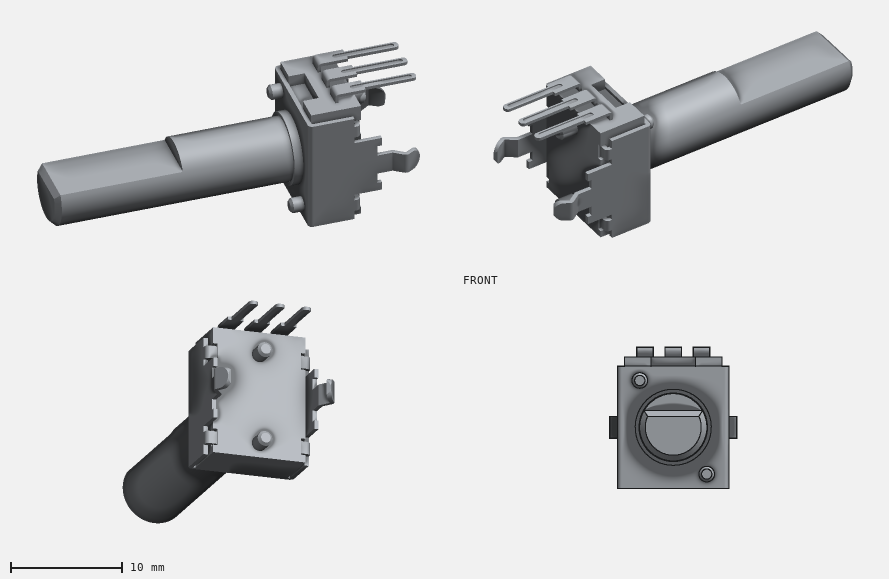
import math

import cadquery as cq


OVERALL_LENGTH = 34

SHEET = 0.4
PLATE_HALF_WIDTH = 5.0
HALF_HEIGHT = 5.47
LEG_REAR = 4.28
TAB_REAR = 6.85
TAB_OUTER_Z = 2.82
TAB_INNER_Z = 2.0
TAB_NOTCH_REAR = 6.45

LUG_HALF_HEIGHT = 1.0
OVERALL_WIDTH = 11.4
LUG_CREST_X = OVERALL_WIDTH / 2
LUG_CREST_Y = 9.0
LUG_CREST_RADIUS = 0.45
LUG_OUTWARD_ANGLE = math.radians(35)
LUG_INWARD_ANGLE = math.radians(31)
LUG_TIP_REAR = 10.47

CLAMP_Z = 4.0
CLAMP_HEIGHT = 1.15
CLAMP_REAR = 4.9
POCKET_HEIGHT = 1.53
POCKET_FRONT = 4.5
POCKET_DEPTH = 0.4

BASE_WIDTH = 8.75
BASE_TOP = 6.3
BASE_REAR = 5.1
RECESS_WIDTH = 4.0
RECESS_LENGTH = 1.5
RECESS_DEPTH = 1.12

PEG_DIAMETER = 1.4
PEG_CHAMFER = 0.25
FRONT_PEG_X = 3.0
PEG_Z = 4.18
FRONT_PEG_TIP = -1.22
REAR_PEG_TIP = 6.85

TERMINAL_PITCH = 2.5
TERMINAL_SHEET = 0.3
TERMINAL_TOP = 7.17
TERMINAL_FRONT = 3.05
TERMINAL_SHOULDER = 5.9
TERMINAL_TIP = 10.88
TERMINAL_WIDTH = 1.5
PRONG_WIDTH = 0.8
TERMINAL_BEND_RADIUS = 0.4
PRONG_CORNER_RADIUS = 0.37
GROOVE_WIDTH = 0.5
GROOVE_FRONT = 4.7
GROOVE_REAR = 10.47
GROOVE_DEPTH = 0.15

BUSHING_DIAMETER = 6.8
BUSHING_LENGTH = 0.8
BORE_DIAMETER = 6.12

SHAFT_DIAMETER = 6.0
SHAFT_TIP = TERMINAL_TIP - OVERALL_LENGTH
SHAFT_CHAMFER = 0.5
FLAT_LENGTH = 12.03
FLAT_Z = 1.5


def box(x_range, y_range, z_range):
    """Box given by its lower and upper limit along each axis."""
    limits = (x_range, y_range, z_range)
    size = [high - low for low, high in limits]
    corner = cq.Vector(*(low for low, high in limits))
    return cq.Workplane(cq.Solid.makeBox(*size, corner))


def span(length, centre=0):
    """Limits of a length laid symmetrically about a centre."""
    return centre - length / 2, centre + length / 2


def rod(diameter, y_start, y_end, x=0, z=0):
    """Cylinder along the Y axis direction."""
    start = cq.Vector(x, y_start, z)
    direction = cq.Vector(0, y_end - y_start, 0)
    return cq.Workplane(cq.Solid.makeCylinder(diameter / 2, abs(y_end - y_start), start, direction))


def mirrored_pair(body):
    """The body together with its mirror image across the YZ plane."""
    return body.union(body.mirror("YZ"))


def leg_strip():
    """The +X leg and its lug as a bent strip of full bracket height."""
    centre_x = LUG_CREST_X - LUG_CREST_RADIUS

    def on_crest(radius, angle):
        return centre_x + radius * math.cos(angle), LUG_CREST_Y + radius * math.sin(angle)

    outer_radius = LUG_CREST_RADIUS
    inner_radius = LUG_CREST_RADIUS - SHEET
    bend_in = on_crest(outer_radius, -LUG_OUTWARD_ANGLE)
    bend_out = on_crest(outer_radius, LUG_INWARD_ANGLE)
    inner_bend_in = on_crest(inner_radius, -LUG_OUTWARD_ANGLE)
    inner_bend_out = on_crest(inner_radius, LUG_INWARD_ANGLE)

    foot_y = bend_in[1] - (bend_in[0] - PLATE_HALF_WIDTH) / math.tan(LUG_OUTWARD_ANGLE)
    inner_foot_y = foot_y + SHEET * math.tan(LUG_OUTWARD_ANGLE / 2)
    tip = (bend_out[0] - (LUG_TIP_REAR - bend_out[1]) * math.tan(LUG_INWARD_ANGLE), LUG_TIP_REAR)
    inner_tip = (
        tip[0] - SHEET * math.cos(LUG_INWARD_ANGLE),
        tip[1] - SHEET * math.sin(LUG_INWARD_ANGLE),
    )
    return (
        cq.Workplane("XY")
        .moveTo(PLATE_HALF_WIDTH, SHEET)
        .lineTo(PLATE_HALF_WIDTH, foot_y)
        .lineTo(*bend_in)
        .threePointArc(on_crest(outer_radius, 0), bend_out)
        .lineTo(*tip)
        .lineTo(*inner_tip)
        .lineTo(*inner_bend_out)
        .threePointArc(on_crest(inner_radius, 0), inner_bend_in)
        .lineTo(PLATE_HALF_WIDTH - SHEET, inner_foot_y)
        .lineTo(PLATE_HALF_WIDTH - SHEET, SHEET)
        .close()
        .extrude(HALF_HEIGHT, both=True)
    )


def leg_outline():
    """Block with the side outline of a leg, wide enough to trim the bent strip."""
    x_range = (0, LUG_CREST_X)
    tip_length = LUG_HALF_HEIGHT * math.cos(LUG_INWARD_ANGLE)
    tip_centre = LUG_TIP_REAR - tip_length

    wall = box(x_range, (0, LEG_REAR), span(2 * HALF_HEIGHT))
    rear_wall = box(x_range, (0, TAB_REAR), span(2 * TAB_OUTER_Z))
    notch = box(x_range, (TAB_NOTCH_REAR, TAB_REAR), span(2 * TAB_INNER_Z))
    lug = box(x_range, (0, tip_centre), span(2 * LUG_HALF_HEIGHT))
    lug_tip = (
        cq.Workplane("YZ")
        .center(tip_centre, 0)
        .ellipse(tip_length, LUG_HALF_HEIGHT)
        .extrude(LUG_CREST_X)
    )
    return wall.union(rear_wall).cut(notch).union(lug).union(lug_tip)


def clamp_tab(z):
    """Tab at the rear of the +X leg, folded inwards to the floor of its pocket."""
    z_range = span(CLAMP_HEIGHT, z)
    leg_part = box((PLATE_HALF_WIDTH - SHEET, PLATE_HALF_WIDTH), (LEG_REAR, CLAMP_REAR), z_range)
    folded_part = box(
        (BASE_WIDTH / 2 - POCKET_DEPTH, PLATE_HALF_WIDTH),
        (CLAMP_REAR - SHEET, CLAMP_REAR),
        z_range,
    )
    return leg_part.union(folded_part).edges("|Z and >X and >Y").fillet(SHEET)


def bracket():
    leg = leg_strip().intersect(leg_outline())
    for z in (-CLAMP_Z, CLAMP_Z):
        leg = leg.union(clamp_tab(z))
    plate = box(span(2 * PLATE_HALF_WIDTH), (0, SHEET), span(2 * HALF_HEIGHT))
    return plate.union(mirrored_pair(leg)).edges("|Z and <Y").fillet(SHEET)


def base():
    block = box(span(BASE_WIDTH), (SHEET, BASE_REAR), (-HALF_HEIGHT, BASE_TOP))
    recess = box(
        span(RECESS_WIDTH),
        (SHEET, SHEET + RECESS_LENGTH),
        (BASE_TOP - RECESS_DEPTH, BASE_TOP),
    )
    block = block.cut(recess)
    for z in (-CLAMP_Z, CLAMP_Z):
        pocket = box(
            (BASE_WIDTH / 2 - POCKET_DEPTH, BASE_WIDTH / 2),
            (POCKET_FRONT, BASE_REAR),
            span(POCKET_HEIGHT, z),
        )
        block = block.cut(mirrored_pair(pocket))
    return block


def front_peg(side):
    """Peg through the plate: side -1 is the upper -X one, +1 the lower +X one."""
    peg = rod(PEG_DIAMETER, SHEET, FRONT_PEG_TIP, side * FRONT_PEG_X, -side * PEG_Z)
    return peg.faces("<Y").chamfer(PEG_CHAMFER)


def rear_peg(side):
    """Peg behind the base: side -1 is the lower one, +1 the upper one."""
    peg = rod(PEG_DIAMETER, BASE_REAR, REAR_PEG_TIP, 0, side * PEG_Z)
    return peg.faces(">Y").chamfer(PEG_CHAMFER)


def terminal_groove():
    """Shallow groove with round ends along the top of a terminal."""
    length = GROOVE_REAR - GROOVE_FRONT
    return (
        cq.Workplane("XY", origin=(0, GROOVE_FRONT + length / 2, TERMINAL_TOP))
        .slot2D(length, GROOVE_WIDTH, 90)
        .extrude(-GROOVE_DEPTH)
    )


def terminal(x):
    sheet_z = (TERMINAL_TOP - TERMINAL_SHEET, TERMINAL_TOP)
    wide_part = box(span(TERMINAL_WIDTH), (TERMINAL_FRONT, TERMINAL_SHOULDER), sheet_z)
    foot = box(
        span(TERMINAL_WIDTH),
        (TERMINAL_FRONT, TERMINAL_FRONT + TERMINAL_SHEET),
        (BASE_TOP, TERMINAL_TOP),
    )
    prong = box(span(PRONG_WIDTH), (TERMINAL_SHOULDER, TERMINAL_TIP), sheet_z)
    prong = prong.edges("|Z and >Y").fillet(PRONG_CORNER_RADIUS)
    strip = wide_part.union(foot).edges("|X and <Y and >Z").fillet(TERMINAL_BEND_RADIUS)
    return strip.union(prong).cut(terminal_groove()).translate((x, 0, 0))


def make_housing():
    """Base, bracket, bushing, pegs and terminals as one solid with a bore for the shaft."""
    housing = bracket().union(base()).union(rod(BUSHING_DIAMETER, 0, -BUSHING_LENGTH))
    for side in (-1, 1):
        housing = housing.union(front_peg(side)).union(rear_peg(side))
    for position in (-1, 0, 1):
        housing = housing.union(terminal(position * TERMINAL_PITCH))
    return housing.cut(rod(BORE_DIAMETER, SHEET, -BUSHING_LENGTH))


def make_shaft():
    """Shaft seated on the base, with a flat along its front end."""
    radius = SHAFT_DIAMETER / 2
    flat_cut = box(span(SHAFT_DIAMETER), (SHAFT_TIP, SHAFT_TIP + FLAT_LENGTH), (FLAT_Z, radius))
    return rod(SHAFT_DIAMETER, SHEET, SHAFT_TIP).cut(flat_cut).faces("<Y").chamfer(SHAFT_CHAMFER)


housing = make_housing()
shaft = make_shaft()
result = cq.Compound.makeCompound([housing.val(), shaft.val()])